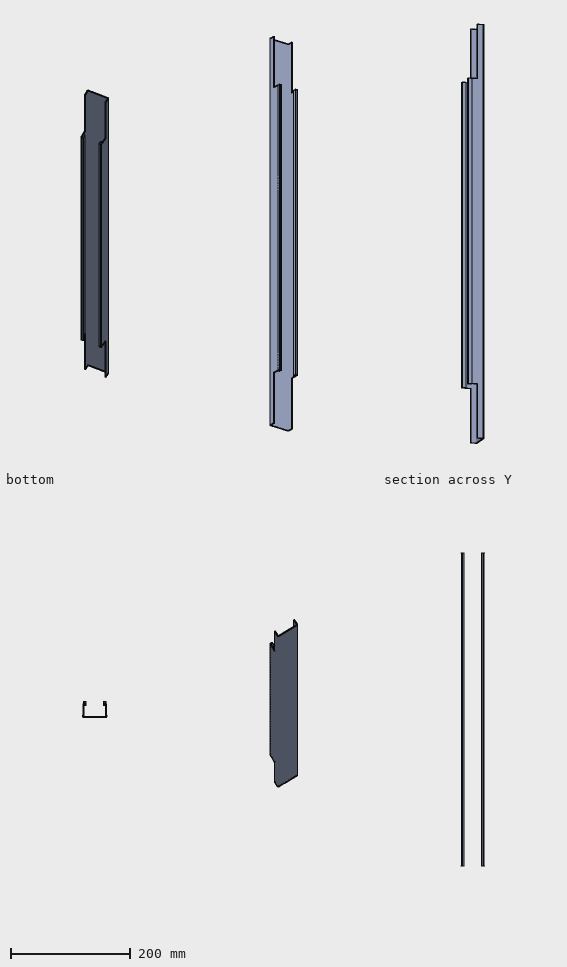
import cadquery as cq

length = 709.5
width = 40.5
depth = 27.0
sheet = 1.7
bend_radius = 2.0

wall_lean = 1.1

end_length = 93.0
end_depth = 11.0

strip_thickness = 3.0
strip_depth = 6.5

back = depth / 2
front = -depth / 2
middle_length = length - 2 * end_length


def lean_at(y):
    """Inward offset of a side wall at depth position y."""
    return wall_lean * (back - y) / depth


def extrude_centered(points, height):
    """Prism along Z, centred on the XY plane."""
    return cq.Workplane("XY").polyline(points).close().extrude(height / 2, both=True)


def make_channel():
    """Bent sheet channel, open toward -Y, with shallow ends."""
    half = width / 2
    inner_back = back - sheet
    inner_half = half - sheet
    outer = extrude_centered(
        [(-half, back), (half, back), (half - wall_lean, front), (wall_lean - half, front)], length)
    outer = outer.edges("|Z and >Y").fillet(bend_radius)
    top_x = inner_half - lean_at(inner_back)
    front_x = inner_half - wall_lean
    cavity = extrude_centered(
        [(-top_x, inner_back), (top_x, inner_back), (front_x, front), (-front_x, front)], length)
    cavity = cavity.edges("|Z and >Y").fillet(bend_radius - sheet)
    body = outer.cut(cavity)
    for end in (-1, 1):
        notch = cq.Workplane("XY").box(width, depth, end_length).translate(
            (0, -end_depth, end * (length - end_length) / 2))
        body = body.cut(notch)
    return body


def make_strip(side):
    """Strip against the inner face of one side wall; side is -1 or 1."""
    strip_back = front + strip_depth
    front_x = width / 2 - sheet - wall_lean
    back_x = width / 2 - sheet - lean_at(strip_back)
    points = [(front_x, front), (back_x, strip_back),
              (back_x - strip_thickness, strip_back), (front_x - strip_thickness, front)]
    return extrude_centered([(side * x, y) for x, y in points], middle_length)


channel = make_channel()
strips = [make_strip(side) for side in (-1, 1)]
result = cq.Compound.makeCompound([channel.val(), *[strip.val() for strip in strips]])